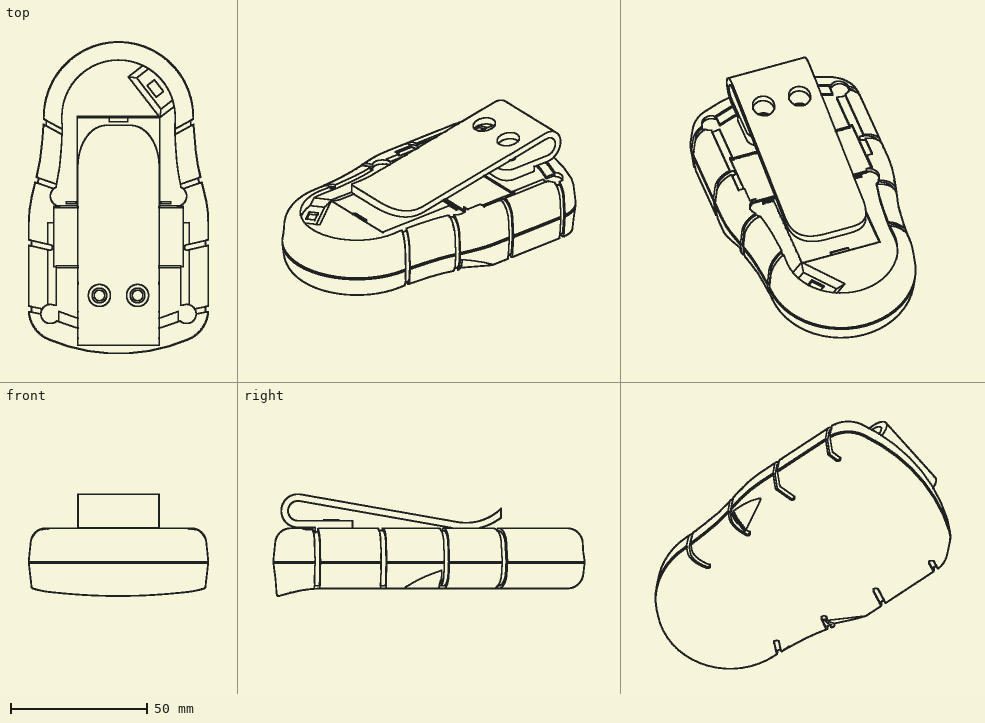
import cadquery as cq
import math

HALF_WIDTH = 33.015
HEAD_RADIUS = 27.5
TAIL_Y = -87.01
TAIL_RADIUS = 66.0
CORNER_RADIUS = 12.0
HIP_Y = -39.0
WAIST_POINTS = [(27.7, -4.5), (28.3, -11.5), (29.4, -18.8), (31.5, -27.5)]

TOP_Z = 12.3
BOTTOM_Z = -9.9
LIP_Z = -13.69
LIP_DIRECTION = (-1, -0.3)
LIP_START_Y = -70.0
BLEND_START_Y = -25.0
BLEND_START_X = 30.9
UPPER_DRAFT = 6.0
LOWER_DRAFT = 6.5
UPPER_FILLET = 5.8
HEAD_FILLET = 6.0
TAIL_FILLET = 0.8
PARTING_DEPTH = 0.3
PARTING_WIDTH = 0.6

FLOOR_Z = 10.6
RIM_RADIUS = 20.8
NECK_POINTS = [(20.7, -6.0), (21.0, -12.0), (21.7, -19.0), (22.9, -25.5)]
NECK_END_HALF_WIDTH = 21.5
DOOR_HALF_WIDTH = 23.8
DOOR_TOP_Y = -33.0
DOOR_BOTTOM_Y = -55.1
BAY_HALF_WIDTH = 22.8
LEDGE_HALF_WIDTH = 26.0
LEDGE_DEPTH = 0.8
BAY_END_Y = -69.2
TAIL_RIM = 7.5
UPPER_LOBE = (21.3, -29.2, 3.7)
LOWER_LOBE = (25.0, -72.4, 3.5)
SEAM_WIDTH = 0.7
SEAM_DEPTH = 0.5
LATCH_X = 15.6
LATCH_Y = -32.0
LATCH_LENGTH = 3.6
STEP_HALF_WIDTH = 22.0
STEP_WIDTH = 3.5
STEP_HEIGHT = 0.8

GROOVE_WIDTH = 2.0
GROOVE_DEPTH = 1.0
GRIP_GROOVES = [
    ((27.8, -1.7), (20.8, -5.5)),
    ((30.2, -23.2), (23.0, -25.7)),
    ((33.0, -46.2), (25.2, -48.0)),
    ((33.0, -70.5), (28.2, -71.5)),
]

CLIP_WIDTH = 29.8
CLIP_THICKNESS = 2.55
CLIP_ANGLE = 10.0
BEND_Y = -77.8
BEND_Z = 18.65
BEND_INNER = 3.6
BEND_OUTER = BEND_INNER + CLIP_THICKNESS
ARM_END_Y = -19.3
TIP_RADIUS = 18.5
TIP_Y = -3.2
TIP_FLAT_HALF = 4.5
TIP_ROUND_LENGTH = 15.0
LEG_END_Y = -57.7
PAD_END_Y = -71.5
LEG_CORNER = 4.4

SCREW_X = 7.0
SCREW_Y = -65.6
ACCESS_DIAMETER = 8.1
SCREW_DIAMETER = 5.4
SOCKET_DIAMETER = 3.9
SCREW_HEIGHT = 0.4
SOCKET_DEPTH = 1.2

CLIP_BAY_WIDTH = 30.3
CLIP_BAY_DEPTH = 1.2
CLIP_BAY_TOP_Y = 0.2
CLIP_BAY_SLOPE = 4.0
CLIP_BAY_LIP = 0.6
TAB_WIDTH = 6.8
TAB_LENGTH = 1.5

POCKET_X = 9.4
POCKET_Y = 7.15
POCKET_ANGLE = 37.8
POCKET_LENGTH = 18.9
POCKET_BEVEL = 2.2
POCKET_DEPTH = 2.2
PORT_OFFSET = 5.2
PORT_WIDTH = 3.4
PORT_LENGTH = 5.4
PORT_DEPTH = 1.0

BIG = 200.0
CLEARANCE = 1.0
MARGIN = 0.1


def block(x0, x1, y0, y1, z0, z1):
    return cq.Workplane("XY").box(x1 - x0, y1 - y0, z1 - z0, centered=False).translate((x0, y0, z0))


def mirrored(feature):
    return feature.union(feature.mirror("YZ"))


def outline(inset, z):
    """Closed plan outline at height z: round head, waisted sides, parallel grips and a bowed tail."""
    head = HEAD_RADIUS - inset
    half_width = HALF_WIDTH - inset
    tail_y = TAIL_Y + inset
    centre_y = TAIL_Y + TAIL_RADIUS
    corner = CORNER_RADIUS - inset
    corner_x = HALF_WIDTH - CORNER_RADIUS
    reach = TAIL_RADIUS - CORNER_RADIUS
    drop = math.sqrt(reach**2 - corner_x**2)
    corner_y = centre_y - drop
    join_x = corner_x + corner * corner_x / reach
    join_y = corner_y - corner * drop / reach
    middle_x = corner_x + corner * math.cos(math.pi / 4)
    middle_y = corner_y - corner * math.sin(math.pi / 4)
    waist = [(x - inset, y) for x, y in WAIST_POINTS]
    right_side = waist + [(half_width, HIP_Y)]
    left_side = [(-x, y) for x, y in reversed(waist)] + [(-head, 0)]
    return (
        cq.Workplane("XY", origin=(0, 0, z))
        .moveTo(-head, 0)
        .threePointArc((0, head), (head, 0))
        .spline(right_side, tangents=[(0, -1), (0, -1)], includeCurrent=True)
        .lineTo(half_width, corner_y)
        .threePointArc((middle_x, middle_y), (join_x, join_y))
        .threePointArc((0, tail_y), (-join_x, join_y))
        .threePointArc((-middle_x, middle_y), (-half_width, corner_y))
        .lineTo(-half_width, HIP_Y)
        .spline(left_side, tangents=[(0, 1), (0, 1)], includeCurrent=True)
        .close()
    )


def drafted(inset, end_z, draft):
    """Block from the parting plane to end_z whose walls lean inwards by the draft angle."""
    lean = abs(end_z) * math.tan(math.radians(draft))
    wires = [outline(inset, 0).val(), outline(inset + lean, end_z).val()]
    return cq.Workplane(cq.Solid.makeLoft(wires, True))


def upper_shell(inset):
    shell = drafted(inset, TOP_Z - inset, UPPER_DRAFT)
    return shell.faces(">Z").edges().fillet(UPPER_FILLET - inset)


def tail_profile():
    """Side profile of the underside, sweeping down into the tail lip."""
    lip_y = TAIL_Y - CLEARANCE
    return (
        cq.Workplane("YZ")
        .moveTo(BLEND_START_Y, 0)
        .lineTo(BLEND_START_Y, BOTTOM_Z)
        .lineTo(LIP_START_Y, BOTTOM_Z)
        .spline([(lip_y, LIP_Z)], tangents=[(-1, 0), LIP_DIRECTION], includeCurrent=True)
        .lineTo(lip_y, 0)
        .close()
        .extrude(BIG / 2, both=True)
    )


def edge_blend(inset):
    """Tapering bevel that fades the round underside of the head into the sharp tail edges."""
    full = HEAD_FILLET - inset
    lean = abs(BOTTOM_Z) * math.tan(math.radians(LOWER_DRAFT))
    z = BOTTOM_Z + inset
    sections = []
    for y, edge_x, leg in ((BLEND_START_Y, BLEND_START_X, full), (HIP_Y, HALF_WIDTH, MARGIN)):
        x = edge_x - lean - inset
        corners = [(x - leg, z - MARGIN), (x + full, z - MARGIN), (x + full, z + leg + full), (x, z + leg)]
        sections.append(cq.Wire.makePolygon([cq.Vector(px, y, pz) for px, pz in corners], close=True))
    return mirrored(cq.Workplane(cq.Solid.makeLoft(sections, True)))


def lower_shell(inset):
    """Lower half: generously rounded at the head, crisp edged and lipped at the tail."""
    head = drafted(inset, BOTTOM_Z + inset, LOWER_DRAFT)
    head = head.faces("<Z").edges().fillet(HEAD_FILLET - inset)
    head = head.intersect(block(-BIG, BIG, BLEND_START_Y, BIG, -BIG, 0))
    tail = drafted(inset, LIP_Z - CLEARANCE, LOWER_DRAFT)
    tail = tail.intersect(tail_profile().translate((0, 0, inset)))
    lowest = (-BIG, -BIG, LIP_Z - CLEARANCE)
    underside = cq.selectors.BoxSelector(lowest, (BIG, BLEND_START_Y - CLEARANCE, BOTTOM_Z + inset + MARGIN))
    tail = tail.edges(underside).edges("not |X").fillet(TAIL_FILLET)
    tail = tail.intersect(block(-BIG, BIG, -BIG, BLEND_START_Y, -BIG, 0))
    return head.union(tail.cut(edge_blend(inset)))


def parting_groove():
    """Shallow groove around the side wall just below the parting plane."""
    ring = outline(-CLEARANCE, -PARTING_WIDTH).extrude(PARTING_WIDTH)
    return ring.cut(outline(PARTING_DEPTH, -PARTING_WIDTH).extrude(PARTING_WIDTH))


def grip_slab(outer, inner):
    """Upright slab running from the side wall to the recess, slanted in plan."""
    slope = (outer[1] - inner[1]) / (outer[0] - inner[0])
    half = GROOVE_WIDTH / 2
    end_x = HALF_WIDTH + CLEARANCE
    end_y = outer[1] + slope * (end_x - outer[0])
    return (
        cq.Workplane("XY", origin=(0, 0, -BIG / 2))
        .moveTo(inner[0], inner[1] - half)
        .lineTo(end_x, end_y - half)
        .lineTo(end_x, end_y + half)
        .lineTo(inner[0], inner[1] + half)
        .threePointArc((inner[0] - half, inner[1]), (inner[0], inner[1] - half))
        .close()
        .extrude(BIG)
    )


def grip_grooves():
    slabs = grip_slab(*GRIP_GROOVES[0])
    for outer, inner in GRIP_GROOVES[1:]:
        slabs = slabs.union(grip_slab(outer, inner))
    core = upper_shell(GROOVE_DEPTH).union(lower_shell(GROOVE_DEPTH))
    return mirrored(slabs).cut(core)


def disc(x, y, radius, z0, z1):
    return cq.Workplane("XY", origin=(x, y, z0)).circle(radius).extrude(z1 - z0)


def tail_disc(inset, z0, z1):
    """Disc concentric with the bowed tail."""
    return disc(0, TAIL_Y + TAIL_RADIUS, TAIL_RADIUS - inset, z0, z1)


def recess():
    """Sunken back panel with corner lobes beside the second and last grip grooves."""
    depth = TOP_Z - FLOOR_Z
    left_neck = [(-x, y) for x, y in reversed(NECK_POINTS)] + [(-RIM_RADIUS, 0)]
    neck = (
        cq.Workplane("XY", origin=(0, 0, FLOOR_Z))
        .moveTo(-RIM_RADIUS, 0)
        .threePointArc((0, RIM_RADIUS), (RIM_RADIUS, 0))
        .spline(NECK_POINTS, includeCurrent=True)
        .lineTo(NECK_END_HALF_WIDTH, DOOR_TOP_Y)
        .lineTo(-NECK_END_HALF_WIDTH, DOOR_TOP_Y)
        .lineTo(*left_neck[0])
        .spline(left_neck[1:], includeCurrent=True)
        .close()
        .extrude(depth)
    )
    door = block(-DOOR_HALF_WIDTH, DOOR_HALF_WIDTH, DOOR_BOTTOM_Y, DOOR_TOP_Y, FLOOR_Z, TOP_Z)
    bay = block(-BAY_HALF_WIDTH, BAY_HALF_WIDTH, BAY_END_Y, DOOR_BOTTOM_Y, FLOOR_Z, TOP_Z)
    foot = block(-LOWER_LOBE[0], LOWER_LOBE[0], TAIL_Y, BAY_END_Y, FLOOR_Z, TOP_Z)
    foot = foot.intersect(tail_disc(TAIL_RIM, FLOOR_Z, TOP_Z))
    cut = neck.union(door).union(bay).union(foot)
    for x, y, radius in (UPPER_LOBE, LOWER_LOBE):
        cut = cut.union(mirrored(disc(x, y, radius, FLOOR_Z, TOP_Z)))
    ledge = block(-LEDGE_HALF_WIDTH, LEDGE_HALF_WIDTH, BAY_END_Y, HIP_Y, TOP_Z - LEDGE_DEPTH, TOP_Z)
    return cut.union(ledge)


def tail_step():
    """Raised curved strip along the tail edge of the recess."""
    strip = block(-STEP_HALF_WIDTH, STEP_HALF_WIDTH, TAIL_Y, BAY_END_Y, FLOOR_Z, FLOOR_Z + STEP_HEIGHT)
    strip = strip.intersect(tail_disc(TAIL_RIM, 0, TOP_Z))
    return strip.cut(tail_disc(TAIL_RIM + STEP_WIDTH, 0, TOP_Z))


def door_seams():
    """Thin joint lines above and below the battery door, with a latch slot each side of the clip."""
    base_z = FLOOR_Z - SEAM_DEPTH
    seams = mirrored(block(LATCH_X, LATCH_X + LATCH_LENGTH, LATCH_Y, LATCH_Y + SEAM_WIDTH, base_z, FLOOR_Z))
    for y, half in ((DOOR_TOP_Y, DOOR_HALF_WIDTH), (DOOR_BOTTOM_Y, BAY_HALF_WIDTH)):
        seams = seams.union(block(-half, half, y - SEAM_WIDTH / 2, y + SEAM_WIDTH / 2, base_z, FLOOR_Z))
    return seams


def clip_bay():
    """Trough below the clip tip with a sloping upper end and a small tab notch."""
    half = CLIP_BAY_WIDTH / 2
    low_z = FLOOR_Z - CLIP_BAY_DEPTH
    slope_end_y = CLIP_BAY_TOP_Y - CLIP_BAY_SLOPE
    edge = [
        (CLIP_BAY_TOP_Y, FLOOR_Z),
        (CLIP_BAY_TOP_Y - CLIP_BAY_LIP, FLOOR_Z - CLIP_BAY_LIP),
        (slope_end_y, low_z),
        (DOOR_TOP_Y, low_z),
        (DOOR_TOP_Y, FLOOR_Z),
    ]
    bay = cq.Workplane("YZ").polyline(edge).close().extrude(half, both=True)
    notch_y = CLIP_BAY_TOP_Y - CLIP_BAY_LIP
    notch = block(-TAB_WIDTH / 2, TAB_WIDTH / 2, notch_y - TAB_LENGTH, notch_y, low_z, FLOOR_Z)
    return bay.union(notch)


def port_pocket():
    """Oblique pocket beside the head rim with bevelled sides and a rectangular port in its floor."""
    low_z = FLOOR_Z - POCKET_DEPTH
    wires = []
    for bevel, z in ((0, FLOOR_Z), (POCKET_BEVEL, low_z)):
        half = POCKET_LENGTH / 2 - bevel
        corners = [(bevel, -half), (HEAD_RADIUS, -half), (HEAD_RADIUS, half), (bevel, half)]
        wires.append(cq.Wire.makePolygon([cq.Vector(x, y, z) for x, y in corners], close=True))
    pocket = cq.Workplane(cq.Solid.makeLoft(wires, True))
    port = cq.Workplane("XY").box(PORT_WIDTH, PORT_LENGTH, 2 * PORT_DEPTH).translate((PORT_OFFSET, 0, low_z))
    pocket = pocket.union(port)
    pocket = pocket.rotate((0, 0, 0), (0, 0, 1), POCKET_ANGLE).translate((POCKET_X, POCKET_Y, 0))
    return pocket.intersect(disc(0, 0, RIM_RADIUS, 0, TOP_Z))


def clip_strip():
    """Bent spring strip: mounting leg, return bend, inclined arm and upturned tip."""
    sine = math.sin(math.radians(CLIP_ANGLE))
    cosine = math.cos(math.radians(CLIP_ANGLE))

    def bend_end(radius):
        return (BEND_Y + radius * sine, BEND_Z + radius * cosine)

    def bend_middle(radius):
        return (BEND_Y - radius, BEND_Z)

    outer_start = bend_end(BEND_OUTER)
    arm_length = (ARM_END_Y - outer_start[0]) / cosine
    tip_centre_y = ARM_END_Y + TIP_RADIUS * sine
    tip_centre_z = outer_start[1] - arm_length * sine + TIP_RADIUS * cosine

    def tip_start(radius):
        return (tip_centre_y - radius * sine, tip_centre_z - radius * cosine)

    def tip_point(radius, y):
        return (y, tip_centre_z - math.sqrt(radius**2 - (y - tip_centre_y) ** 2))

    tip_outer = TIP_RADIUS + CLIP_THICKNESS
    tip_middle_y = (ARM_END_Y + TIP_Y) / 2
    return (
        cq.Workplane("YZ")
        .moveTo(LEG_END_Y, BEND_Z - BEND_OUTER)
        .lineTo(BEND_Y, BEND_Z - BEND_OUTER)
        .threePointArc(bend_middle(BEND_OUTER), outer_start)
        .lineTo(*tip_start(TIP_RADIUS))
        .threePointArc(tip_point(TIP_RADIUS, tip_middle_y), tip_point(TIP_RADIUS, TIP_Y))
        .lineTo(*tip_point(tip_outer, TIP_Y))
        .threePointArc(tip_point(tip_outer, tip_middle_y), tip_start(tip_outer))
        .lineTo(*bend_end(BEND_INNER))
        .threePointArc(bend_middle(BEND_INNER), (BEND_Y, BEND_Z - BEND_INNER))
        .lineTo(LEG_END_Y, BEND_Z - BEND_INNER)
        .close()
        .extrude(CLIP_WIDTH / 2, both=True)
    )


def tip_plan():
    """Plan of the arm whose free end is rounded by two quarter ellipses."""
    half = CLIP_WIDTH / 2
    corner_y = TIP_Y - TIP_ROUND_LENGTH
    round_half = half - TIP_FLAT_HALF
    blank = cq.Workplane("XY").moveTo(0, corner_y).ellipse(round_half, TIP_ROUND_LENGTH).extrude(BIG)
    ends = blank.translate((TIP_FLAT_HALF, 0, 0)).union(blank.translate((-TIP_FLAT_HALF, 0, 0)))
    middle = block(-TIP_FLAT_HALF, TIP_FLAT_HALF, corner_y, TIP_Y, 0, BIG)
    return ends.union(middle).union(block(-half, half, -BIG, corner_y, 0, BIG))


def clip():
    """Belt clip with its mounting pad, screw heads and access holes through the arm."""
    half = CLIP_WIDTH / 2
    leg_top = BEND_Z - BEND_INNER
    strip = clip_strip().intersect(tip_plan())
    pad = block(-half, half, PAD_END_Y, LEG_END_Y, FLOOR_Z, leg_top)
    leg_end = cq.selectors.BoxSelector(
        (-BIG, LEG_END_Y - MARGIN, FLOOR_Z), (BIG, LEG_END_Y + MARGIN, leg_top)
    )
    part = strip.union(pad).edges("|Z").edges(leg_end).fillet(LEG_CORNER)
    for x in (-SCREW_X, SCREW_X):
        part = part.cut(disc(x, SCREW_Y, ACCESS_DIAMETER / 2, BEND_Z, BIG))
        part = part.union(disc(x, SCREW_Y, SCREW_DIAMETER / 2, FLOOR_Z, leg_top + SCREW_HEIGHT))
        part = part.cut(disc(x, SCREW_Y, SOCKET_DIAMETER / 2, leg_top + SCREW_HEIGHT - SOCKET_DEPTH, BEND_Z))
    return part


def case():
    body = upper_shell(0).union(lower_shell(0))
    body = body.cut(recess()).cut(grip_grooves()).cut(parting_groove())
    body = body.cut(clip_bay()).cut(port_pocket()).cut(door_seams())
    return body.union(tail_step())


result = case().union(clip())